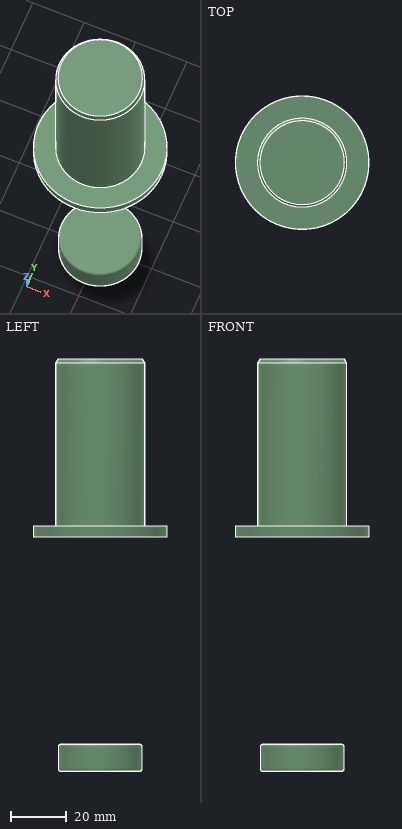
import cadquery as cq

total_height = 148.0

flange_diameter = 48.0
flange_thickness = 4.0
shaft_diameter = 32.0
pin_height = 64.0
shaft_chamfer_height = 1.5
shaft_chamfer_inset = 0.9

disc_diameter = 30.0
disc_thickness = 9.8
disc_edge_radius = 0.9


def make_pin():
    """Round shaft with a chamfered top, standing on a thin flange."""
    base_z = total_height - pin_height
    flange = (
        cq.Workplane("XY", origin=(0, 0, base_z))
        .circle(flange_diameter / 2)
        .extrude(flange_thickness)
    )
    shaft = (
        cq.Workplane("XY", origin=(0, 0, base_z))
        .circle(shaft_diameter / 2)
        .extrude(pin_height)
        .faces(">Z")
        .chamfer(shaft_chamfer_height, shaft_chamfer_inset)
    )
    return flange.union(shaft)


def make_disc():
    """Plain disc with both rims rounded."""
    return (
        cq.Workplane("XY")
        .circle(disc_diameter / 2)
        .extrude(disc_thickness)
        .faces("<Z or >Z")
        .fillet(disc_edge_radius)
    )


pin = make_pin()
disc = make_disc()

result = cq.Compound.makeCompound([pin.val(), disc.val()])